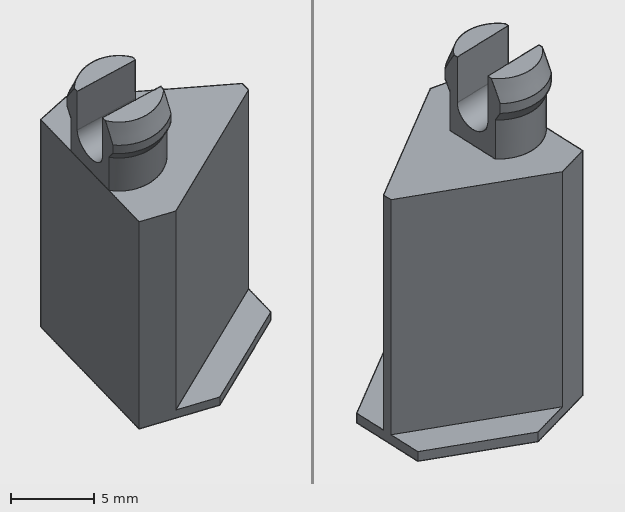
import cadquery as cq
import math

total_height = 24.75
clip_height = 6.0
body_height = total_height - clip_height

depth = 11.5
front_half_width = 5.05
foot_half_width = 6.34
foot_corner_y = 5.05
foot_thickness = 0.75
shoulder_y = 2.3
rear_slope = math.tan(math.radians(60))
side_slope = (foot_half_width - front_half_width) / foot_corner_y
shoulder_half_width = front_half_width + side_slope * shoulder_y

stem_radius = 2.9
barb_radius = 3.2
tip_radius = 2.67
clip_thickness = 4.3
lead_in_height = 1.5
barb_land_height = 0.75
barb_underside_height = 0.75
slot_width = 2.6
slot_depth = 4.8


def symmetric_prism(right_side, height):
    """Extrude an outline given by its right-hand points, mirrored about X = 0."""
    left_side = [(-x, y) for x, y in reversed(right_side)]
    return cq.Workplane("XY").polyline(right_side + left_side).close().extrude(height)


def side_outline(corner_x, corner_y):
    """Right half of a plan: front corner, side corner, then a 60 degree run to the back."""
    rear_half_width = corner_x - (depth - corner_y) / rear_slope
    return [(front_half_width, 0), (corner_x, corner_y), (rear_half_width, depth)]


def make_housing():
    foot = symmetric_prism(side_outline(foot_half_width, foot_corner_y), foot_thickness)
    column = symmetric_prism(side_outline(shoulder_half_width, shoulder_y), body_height)
    return foot.union(column)


def make_barbed_pin():
    """Round pin about the Z axis, with its foot at Z = 0."""
    land_top = clip_height - lead_in_height
    land_bottom = land_top - barb_land_height
    stem_top = land_bottom - barb_underside_height
    profile = [
        (0, 0),
        (stem_radius, 0),
        (stem_radius, stem_top),
        (barb_radius, land_bottom),
        (barb_radius, land_top),
        (tip_radius, clip_height),
        (0, clip_height),
    ]
    return cq.Workplane("XZ").polyline(profile).close().revolve(360, (0, 0, 0), (0, 1, 0))


def make_slot_cutter():
    """U-shaped slot along Y, open at the top, with a round bottom."""
    slot_radius = slot_width / 2
    slot_floor = clip_height - slot_depth
    return (
        cq.Workplane("XZ")
        .moveTo(-slot_radius, clip_height)
        .lineTo(-slot_radius, slot_floor + slot_radius)
        .threePointArc((0, slot_floor), (slot_radius, slot_floor + slot_radius))
        .lineTo(slot_radius, clip_height)
        .close()
        .extrude(clip_thickness, both=True)
    )


def make_clip():
    """Pin with flat front and back, its front flush with the housing's front face."""
    flats = cq.Workplane("XY").box(
        2 * barb_radius, clip_thickness, clip_height, centered=(True, True, False)
    )
    clip = make_barbed_pin().intersect(flats).cut(make_slot_cutter())
    return clip.translate((0, clip_thickness / 2, body_height))


housing = make_housing()
clip = make_clip()
result = cq.Compound.makeCompound([housing.val(), clip.val()])